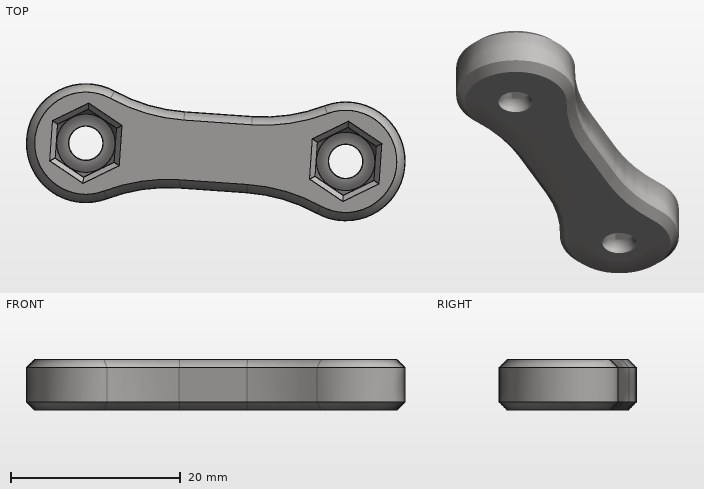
import cadquery as cq
import math

overall_length = 44.65
overall_width = 16.15
thickness = 6.0
end_radius = 7.0
waist_half_width = 4.5
blend_radius = 20.0
edge_chamfer = 1.0

hole_diameter = 4.0
nut_across_flats = 6.95
nut_floor_diameter = 6.9
nut_lead_in = 0.63
lead_in_angle = 45.0
pocket_depth = 4.0
nut_cone_angle = 30.0

center_offset_x = overall_length - 2 * end_radius
center_offset_y = overall_width - 2 * end_radius
half_spacing = math.hypot(center_offset_x, center_offset_y) / 2
tilt_angle = -math.degrees(math.atan2(center_offset_y, center_offset_x))


def link_body():
    """Bar with round ends blended by concave arcs into a straight waist."""
    center_distance = blend_radius + end_radius
    blend_center_y = waist_half_width + blend_radius
    blend_run = math.sqrt(center_distance**2 - blend_center_y**2)
    waist_end = half_spacing - blend_run

    end_share = end_radius / center_distance
    joint_x = half_spacing - end_share * blend_run
    joint_y = end_share * blend_center_y

    mid_angle = math.atan2(blend_run, blend_center_y) / 2
    mid_x = waist_end + blend_radius * math.sin(mid_angle)
    mid_y = blend_center_y - blend_radius * math.cos(mid_angle)
    tip_x = half_spacing + end_radius

    return (
        cq.Workplane("XY")
        .moveTo(-waist_end, waist_half_width)
        .lineTo(waist_end, waist_half_width)
        .threePointArc((mid_x, mid_y), (joint_x, joint_y))
        .threePointArc((tip_x, 0), (joint_x, -joint_y))
        .threePointArc((mid_x, -mid_y), (waist_end, -waist_half_width))
        .lineTo(-waist_end, -waist_half_width)
        .threePointArc((-mid_x, -mid_y), (-joint_x, -joint_y))
        .threePointArc((-tip_x, 0), (-joint_x, joint_y))
        .threePointArc((-mid_x, mid_y), (-waist_end, waist_half_width))
        .close()
        .extrude(thickness)
        .faces("<Z or >Z")
        .chamfer(edge_chamfer)
    )


def hexagon(across_flats, height):
    """Hexagon sketch at the given height, with corners pointing along Y."""
    across_corners = across_flats / math.cos(math.pi / 6)
    return (
        cq.Workplane("XY", origin=(0, 0, height))
        .transformed(rotate=(0, 0, 90))
        .polygon(6, across_corners)
    )


def nut_pocket():
    """Cutter for a hex pocket with a flared mouth and a cone in its corners."""
    floor = thickness - pocket_depth
    prism = hexagon(nut_across_flats, floor).extrude(pocket_depth)

    floor_radius = nut_floor_diameter / 2
    top_radius = floor_radius + pocket_depth / math.tan(math.radians(nut_cone_angle))
    cone = cq.Workplane(
        cq.Solid.makeCone(floor_radius, top_radius, pocket_depth, cq.Vector(0, 0, floor))
    )

    mouth_across_flats = nut_across_flats + 2 * nut_lead_in
    mouth = hexagon(mouth_across_flats, thickness).extrude(-nut_lead_in, taper=lead_in_angle)
    return prism.intersect(cone).union(mouth)


def bolt_hole():
    """Cutter for a through hole."""
    return cq.Workplane("XY").circle(hole_diameter / 2).extrude(thickness)


link = link_body()
for center_x in (-half_spacing, half_spacing):
    for cutter in (nut_pocket(), bolt_hole()):
        link = link.cut(cutter.translate((center_x, 0, 0)))

result = link.rotate((0, 0, 0), (0, 0, 1), tilt_angle)